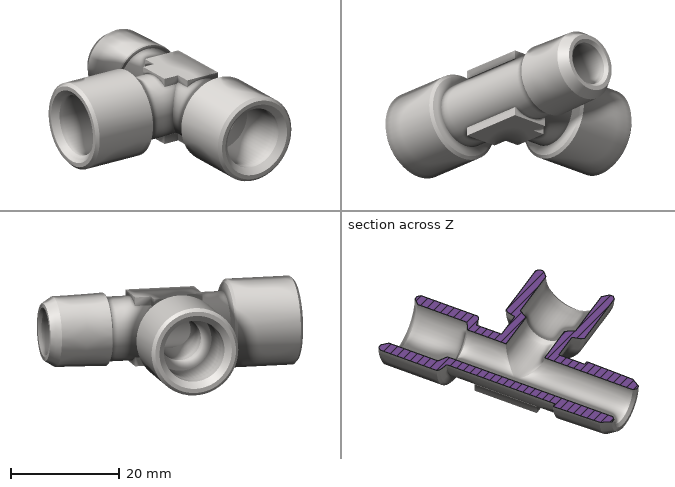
import cadquery as cq
import math

run_length = 47.5
socket_reach = 24.5
spigot_reach = run_length - socket_reach

pipe_radius = 12.0 / 2
bore_radius = 4.0

socket_radius = 16.5 / 2
socket_length = 13.35
socket_chamfer = 0.55
socket_shoulder = 0.45
socket_bore_radius = 5.75
socket_bore_depth = 11.4
socket_mouth_radius = 6.9
drill_point_angle = 118.0

spigot_length = 11.65
spigot_radius = 6.8
spigot_nose_radius = 6.55
spigot_tip_radius = 5.35
spigot_nose_length = 1.9
spigot_back_chamfer = 0.2
spigot_mouth_radius = 4.55

pad_half_length = 6.5
pad_outer_z = 6.5
pad_thickness = 1.6
pad_back_y = 3.75
pad_left_shoulder_y = -3.75
pad_right_shoulder_y = -3.15
pad_stem_half_width = 3.5
pad_stem_end_y = -6.18


def revolved(profile):
    """Solid of revolution about X from (x, radius) points, closed on the axis."""
    points = [(profile[0][0], 0)] + profile + [(profile[-1][0], 0)]
    return cq.Workplane("XY").polyline(points).close().revolve(360, (0, 0, 0), (1, 0, 0))


def to_branch(body):
    """Turn a body lying along +X so that it lies along -Y."""
    return body.rotate((0, 0, 0), (0, 0, 1), -90)


def socket_arm():
    """Pipe from the origin ending in a socket with a chamfered rim."""
    back = socket_reach - socket_length
    rim_radius = socket_radius - socket_chamfer
    return revolved([
        (0, pipe_radius),
        (back, pipe_radius),
        (back + socket_shoulder, rim_radius),
        (back + 2 * socket_shoulder, socket_radius),
        (socket_reach - socket_chamfer, socket_radius),
        (socket_reach, rim_radius),
    ])


def socket_cavity():
    """Countersunk socket bore with a drill-point floor, opening into the pipe bore."""
    floor = socket_reach - socket_bore_depth
    radius_step = socket_bore_radius - bore_radius
    point_length = radius_step / math.tan(math.radians(drill_point_angle / 2))
    mouth_depth = socket_mouth_radius - socket_bore_radius
    return revolved([
        (0, bore_radius),
        (floor - point_length, bore_radius),
        (floor, socket_bore_radius),
        (socket_reach - mouth_depth, socket_bore_radius),
        (socket_reach, socket_mouth_radius),
    ])


def spigot_arm():
    """Pipe from the origin ending in the tapered spigot on the -X side."""
    tip = -spigot_reach
    back = tip + spigot_length
    return revolved([
        (tip, spigot_tip_radius),
        (tip + spigot_nose_length, spigot_nose_radius),
        (back - spigot_back_chamfer, spigot_radius),
        (back, spigot_radius - spigot_back_chamfer),
        (back, pipe_radius),
        (0, pipe_radius),
    ])


def spigot_cavity():
    """Pipe bore with a chamfered mouth at the spigot tip."""
    mouth_depth = spigot_mouth_radius - bore_radius
    return revolved([
        (-spigot_reach, spigot_mouth_radius),
        (-spigot_reach + mouth_depth, bore_radius),
        (0, bore_radius),
    ])


def pad():
    """Upper T-shaped pad, with unequal shoulders beside the branch."""
    return (
        cq.Workplane("XY", origin=(0, 0, pad_outer_z - pad_thickness))
        .moveTo(-pad_half_length, pad_back_y)
        .lineTo(pad_half_length, pad_back_y)
        .lineTo(pad_half_length, pad_right_shoulder_y)
        .lineTo(pad_stem_half_width, pad_right_shoulder_y)
        .lineTo(pad_stem_half_width, pad_stem_end_y)
        .lineTo(-pad_stem_half_width, pad_stem_end_y)
        .lineTo(-pad_stem_half_width, pad_left_shoulder_y)
        .lineTo(-pad_half_length, pad_left_shoulder_y)
        .close()
        .extrude(pad_thickness)
    )


upper_pad = pad()
lower_pad = upper_pad.mirror("XY")
body = spigot_arm().union(socket_arm()).union(to_branch(socket_arm()))
body = body.union(upper_pad).union(lower_pad)

result = body.cut(spigot_cavity()).cut(socket_cavity()).cut(to_branch(socket_cavity()))